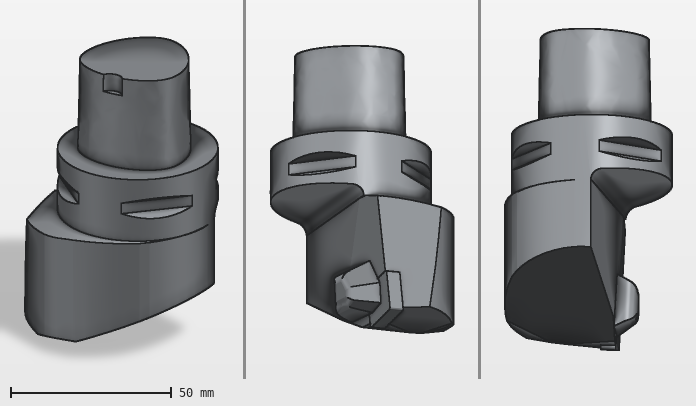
import cadquery as cq
import math


SHANK_HEIGHT = 30.1
SHANK_BASE_RADIUS = 17.6
SHANK_TOP_RADIUS = 16.9
LOBE_HEIGHT = 1.07
OUTLINE_POINTS = 36
KEYWAY_RADIUS = 3.9
KEYWAY_DEPTH = 5.7
KEYWAY_CENTRE_Y = -17.7

FLANGE_RADIUS = 50.0 / 2
FLANGE_HEIGHT = 20.85
NOTCH_Z = -10.0
NOTCH_FLOOR_DISTANCE = 22.25
NOTCH_FLOOR_HEIGHT = 3.5
NOTCH_MOUTH_HEIGHT = 6.9
NOTCH_COUNT = 4

RELIEF_Y = 5.2
RELIEF_TOP_Z = -17.6
RELIEF_TILT = 5.0
RELIEF_FILLET = 3.7

HEAD_TOP_ANGLE = 15.0
HEAD_BOTTOM_Z = -61.7
HEAD_BACK_Y = -28.6
HEAD_LEFT_X = -39.1
HEEL_X = -18.0
UNDERSIDE_ANGLE = 24.2

NOSE_WALL_START = (-32.8, -13.4)
NOSE_WALL_MIDDLE = (-26.6, -21.4)
NOSE_WALL_END = (HEEL_X, -27.3)
BACK_BLEND_MIDDLE = (-15.45, -28.1)
BACK_FLAT_START_X = -12.75
BACK_FLAT_END_X = -6.9
BACK_WALL_MIDDLE = (3.9, -26.8)
BACK_WALL_END = (13.4, -22.4)
RIGHT_WALL_START = (15.8, -20.4)
RIGHT_WALL_MIDDLE = (21.7, -12.5)

RAKE_CORNER = (-31.6, 3.4, -22.5)
RAKE_X_SLOPE = 0.155
RAKE_Z_SLOPE = 0.06
RAKE_NORMAL = (-RAKE_X_SLOPE, 1.0, -RAKE_Z_SLOPE)

FLANK_NORMAL = (-1.0, -0.118, 0.09)
NOSE_RELIEF_POINT = (-23.6, -24.0, -57.8)
NOSE_RELIEF_NORMAL = (-0.294, -0.2, -1.0)
HEEL_RELIEF_POINT = (HEEL_X, -15.6, HEAD_BOTTOM_Z)
HEEL_RELIEF_NORMAL = (0.05, -0.37, -1.0)

INSERT_SIDE = 12.8
INSERT_THICKNESS = 4.75
INSERT_CORNER_RADIUS = 0.7
INSERT_CORNER_X = -35.2
INSERT_CORNER_Z = -60.0
INSERT_SIDE_ANGLE = 85.6
INSERT_END_ANGLE = -14.4

CLAMP_X = -20.0
CLAMP_Z = -50.3
CLAMP_NOSE_REACH = 10.1
CLAMP_NOSE_TOP = 0.0
CLAMP_NOSE_BOTTOM = 6.5
CLAMP_SHOULDER_REACH = 4.7
CLAMP_HALF_WIDTH = 8.4
CLAMP_BACK_REACH = 8.4
CLAMP_TOP_SCALE = 0.6
CLAMP_TOP_SHIFT = 4.7
CLAMP_HEIGHT = 6.7
CLAMP_FILLET = 3.7

OVERCUT = 186.2


def rake_y(x, z):
    """Y of the rake plane at the given X and Z."""
    return RAKE_CORNER[1] + RAKE_X_SLOPE * (x - RAKE_CORNER[0]) + RAKE_Z_SLOPE * (z - RAKE_CORNER[2])


def rake_plane(x, z):
    """Plane on the rake face: local x runs along +X, local y close to -Z, normal outward."""
    return cq.Plane(origin=(x, rake_y(x, z), z), xDir=(1, RAKE_X_SLOPE, 0), normal=RAKE_NORMAL)


def beyond(point, normal):
    """Large block covering the side of a plane that the normal points to."""
    plane = cq.Plane(origin=point, normal=normal)
    return cq.Workplane(plane).rect(OVERCUT, OVERCUT).extrude(OVERCUT)


def lobed_point(radius, angle):
    """Point on a constant-width curve whose support distance is radius - LOBE_HEIGHT * sin(3 * angle)."""
    support = radius - LOBE_HEIGHT * math.sin(3 * angle)
    support_rate = -3 * LOBE_HEIGHT * math.cos(3 * angle)
    return (
        support * math.cos(angle) - support_rate * math.sin(angle),
        support * math.sin(angle) + support_rate * math.cos(angle),
    )


def lobed_outline(radius):
    return [lobed_point(radius, 2 * math.pi * i / OUTLINE_POINTS) for i in range(OUTLINE_POINTS)]


def make_shank():
    shank = (
        cq.Workplane("XY")
        .spline(lobed_outline(SHANK_BASE_RADIUS), periodic=True)
        .close()
        .workplane(offset=SHANK_HEIGHT)
        .spline(lobed_outline(SHANK_TOP_RADIUS), periodic=True)
        .close()
        .loft()
    )
    keyway = (
        cq.Workplane("XY", origin=(0, KEYWAY_CENTRE_Y, SHANK_HEIGHT - KEYWAY_DEPTH))
        .circle(KEYWAY_RADIUS)
        .extrude(KEYWAY_DEPTH)
    )
    return shank.cut(keyway)


def make_gripper_notch():
    """Straight trapezoidal groove across the +X side of the flange."""
    floor_half = NOTCH_FLOOR_HEIGHT / 2
    mouth_half = NOTCH_MOUTH_HEIGHT / 2
    return (
        cq.Workplane("XZ", origin=(0, 0, NOTCH_Z))
        .moveTo(NOTCH_FLOOR_DISTANCE, -floor_half)
        .lineTo(FLANGE_RADIUS, -mouth_half)
        .lineTo(FLANGE_RADIUS, mouth_half)
        .lineTo(NOTCH_FLOOR_DISTANCE, floor_half)
        .close()
        .extrude(FLANGE_RADIUS, both=True)
    )


def make_relief():
    """Clearance below the flange on the +Y side, with a filleted inner corner."""
    reach = 2 * FLANGE_RADIUS
    rise = reach * math.tan(math.radians(RELIEF_TILT))
    return (
        cq.Workplane("YZ")
        .moveTo(RELIEF_Y, RELIEF_TOP_Z)
        .lineTo(RELIEF_Y + reach, RELIEF_TOP_Z + rise)
        .lineTo(RELIEF_Y + reach, -OVERCUT)
        .lineTo(RELIEF_Y, -OVERCUT)
        .close()
        .extrude(OVERCUT, both=True)
        .edges(cq.selectors.NearestToPointSelector((0, RELIEF_Y, RELIEF_TOP_Z)))
        .fillet(RELIEF_FILLET)
    )


def make_flange():
    flange = cq.Workplane("XY").circle(FLANGE_RADIUS).extrude(-FLANGE_HEIGHT)
    for i in range(NOTCH_COUNT):
        angle = (i + 0.5) * 360 / NOTCH_COUNT
        flange = flange.cut(make_gripper_notch().rotate((0, 0, 0), (0, 0, 1), angle))
    return flange.cut(make_relief())


def make_head_blank():
    """Vertical prism of the head, before its sloped faces are cut."""
    right_x = math.sqrt(FLANGE_RADIUS**2 - RELIEF_Y**2)
    right_middle_x = math.sqrt(FLANGE_RADIUS**2 - (RELIEF_Y / 2) ** 2)
    return (
        cq.Workplane("XY", origin=(0, 0, HEAD_BOTTOM_Z))
        .moveTo(HEAD_LEFT_X, RELIEF_Y)
        .lineTo(HEAD_LEFT_X, NOSE_WALL_START[1])
        .lineTo(*NOSE_WALL_START)
        .threePointArc(NOSE_WALL_MIDDLE, NOSE_WALL_END)
        .threePointArc(BACK_BLEND_MIDDLE, (BACK_FLAT_START_X, HEAD_BACK_Y))
        .lineTo(BACK_FLAT_END_X, HEAD_BACK_Y)
        .threePointArc(BACK_WALL_MIDDLE, BACK_WALL_END)
        .lineTo(*RIGHT_WALL_START)
        .threePointArc(RIGHT_WALL_MIDDLE, (FLANGE_RADIUS, 0))
        .threePointArc((right_middle_x, RELIEF_Y / 2), (right_x, RELIEF_Y))
        .close()
        .extrude(-HEAD_BOTTOM_Z - FLANGE_HEIGHT)
    )


def make_top_cone():
    """Conical envelope falling away from the lower rim of the flange."""
    outer_radius = 2 * FLANGE_RADIUS
    drop = (outer_radius - FLANGE_RADIUS) * math.tan(math.radians(HEAD_TOP_ANGLE))
    return (
        cq.Workplane("XZ")
        .moveTo(0, -FLANGE_HEIGHT)
        .lineTo(FLANGE_RADIUS, -FLANGE_HEIGHT)
        .lineTo(outer_radius, -FLANGE_HEIGHT - drop)
        .lineTo(outer_radius, HEAD_BOTTOM_Z)
        .lineTo(0, HEAD_BOTTOM_Z)
        .close()
        .revolve(360, (0, 0, 0), (0, 1, 0))
    )


def make_head():
    slope = math.radians(UNDERSIDE_ANGLE)
    underside_normal = (math.sin(slope), 0, -math.cos(slope))
    return (
        make_head_blank()
        .intersect(make_top_cone())
        .cut(beyond(RAKE_CORNER, RAKE_NORMAL))
        .cut(beyond(RAKE_CORNER, FLANK_NORMAL))
        .cut(beyond((HEEL_X, 0, HEAD_BOTTOM_Z), underside_normal))
        .cut(beyond(NOSE_RELIEF_POINT, NOSE_RELIEF_NORMAL))
        .cut(beyond(HEEL_RELIEF_POINT, HEEL_RELIEF_NORMAL))
    )


def make_clamp():
    """Rounded, tapered clamp standing on the rake face, its slope facing the insert."""
    plane = rake_plane(CLAMP_X, CLAMP_Z)
    base = [
        (-CLAMP_NOSE_REACH, CLAMP_NOSE_TOP),
        (-CLAMP_SHOULDER_REACH, -CLAMP_HALF_WIDTH),
        (CLAMP_BACK_REACH, -CLAMP_HALF_WIDTH),
        (CLAMP_BACK_REACH, CLAMP_HALF_WIDTH),
        (-CLAMP_SHOULDER_REACH, CLAMP_HALF_WIDTH),
        (-CLAMP_NOSE_REACH, CLAMP_NOSE_BOTTOM),
    ]
    top = [(CLAMP_TOP_SCALE * x + CLAMP_TOP_SHIFT, CLAMP_TOP_SCALE * y) for x, y in base]
    return (
        cq.Workplane(plane)
        .polyline(base)
        .close()
        .workplane(offset=CLAMP_HEIGHT)
        .polyline(top)
        .close()
        .loft(ruled=True)
        .edges(cq.selectors.DirectionMinMaxSelector(plane.zDir, True))
        .fillet(CLAMP_FILLET)
    )


def make_insert():
    """Rhombic plate sunk into the rake face, its cutting corner at the lower -X end."""
    plane = rake_plane(INSERT_CORNER_X, INSERT_CORNER_Z)
    side = math.radians(INSERT_SIDE_ANGLE)
    end = math.radians(INSERT_END_ANGLE)
    side_step = (INSERT_SIDE * math.cos(side), -INSERT_SIDE * math.sin(side))
    end_step = (INSERT_SIDE * math.cos(end), -INSERT_SIDE * math.sin(end))
    far_corner = (side_step[0] + end_step[0], side_step[1] + end_step[1])
    return (
        cq.Workplane(plane)
        .polyline([(0, 0), side_step, far_corner, end_step])
        .close()
        .extrude(-INSERT_THICKNESS)
        .edges(cq.selectors.ParallelDirSelector(plane.zDir))
        .fillet(INSERT_CORNER_RADIUS)
    )


insert = make_insert()
holder = make_flange().union(make_shank()).union(make_head()).union(make_clamp()).cut(insert)

result = cq.Compound.makeCompound([holder.val(), insert.val()])